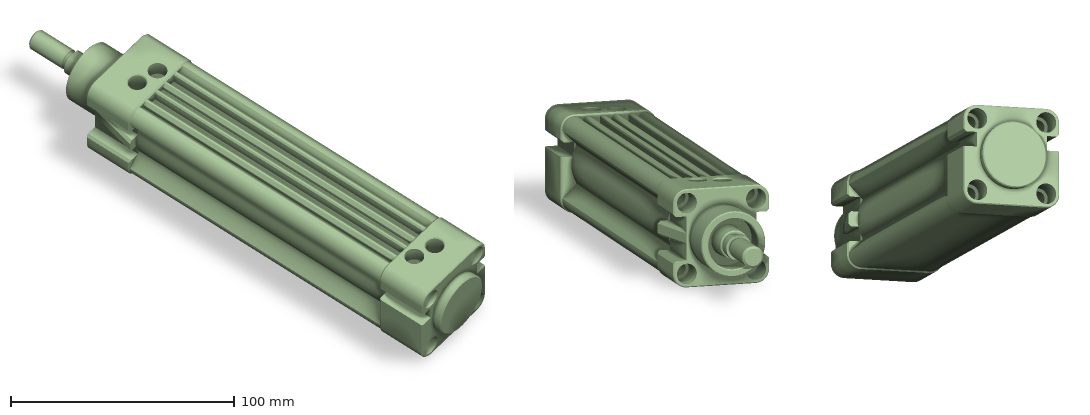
import cadquery as cq


collar_start = 29.8
front_cap_start = 48.0
front_cap_end = 72.8
rear_cap_start = 216.7
rear_cap_end = 241.5
overall_length = 246.0

cap_side = 45.0
cap_half = cap_side / 2
tie_offset = 16.2
cap_corner = cap_half - tie_offset
outer_edge_chamfer = 0.5
barrel_edge_chamfer = 0.7
collar_radius = 15.0
collar_chamfer = 0.5

tie_hole_radius = 2.7
cap_hole_radius = 3.2
tie_counterbore_radius = 4.7
tie_counterbore_depth = 5.0

recess_floor = 16.5
ear_inner = 10.0
ear_chamfer = 1.2
rib_half_height = 3.5
rib_outer = 22.1
rib_chamfer = 1.2
rear_pad_top = rib_half_height

port_mouth_radius = 4.7
port_radius = 4.2
port_setback = 9.5
port_side = 5.2
screw_hole_radius = 4.5
screw_setback = 6.6
screw_side = 5.7
screw_hole_depth = 7.5
screw_socket_radius = 1.5
screw_socket_depth = 1.2
cushion_radius = 10.0
cushion_depth = 16.0

barrel_half = 22.0
bore_radius = 16.0
tube_radius = 17.7
corner_land_end = 15.5
side_groove_depth = 6.5
rail_outer = 12.3
rail_chamfer = 1.5
valley_floor = barrel_half - (corner_land_end - rail_outer)
sensor_slot_center = 6.6
sensor_slot_half = 2.5
sensor_slot_chamfer = 0.7
sensor_slot_floor = 16.7
center_slot_half = 1.2

rod_radius = 6.0
thread_radius = 5.0
thread_end = 19.5
thread_chamfer = 1.0
undercut_radius = 4.5
undercut_end = 21.6
flats_end = 27.3
flat_half = 5.2

mouth_radius = 11.5
mouth_depth = 9.8
mouth_chamfer = 0.5
wiper_tip_radius = 6.6
wiper_base_radius = 7.5
wiper_start = 27.8
wiper_chamfer = 0.5


def cylinder_x(radius, start, end, y=0, z=0):
    """Cylinder along X between two stations."""
    return cq.Workplane("YZ", origin=(start, y, z)).circle(radius).extrude(end - start)


def cylinder_z(radius, x, y, top, bottom):
    """Vertical cylinder between two heights."""
    return cq.Workplane("XY", origin=(x, y, bottom)).circle(radius).extrude(top - bottom)


def tie_positions():
    """Y and Z of the four corner holes."""
    return [(y, z) for y in (-tie_offset, tie_offset) for z in (-tie_offset, tie_offset)]


def cap_block(start, end, outer_side, barrel_side):
    """Square cap with rounded corners and chamfered edges on its outer and barrel sides."""
    block = cq.Workplane("YZ", origin=(start, 0, 0)).rect(cap_side, cap_side).extrude(end - start)
    block = block.edges("|X").fillet(cap_corner)
    block = block.faces(barrel_side).edges().chamfer(barrel_edge_chamfer)
    return block.faces(outer_side).edges().chamfer(outer_edge_chamfer)


def cut_tie_holes(cap, start, end, outer_face, inward):
    """Cut the corner holes of a cap, with counterbores sunk from the outer face."""
    counterbore_end = outer_face + inward * tie_counterbore_depth
    for y, z in tie_positions():
        cap = cap.cut(cylinder_x(cap_hole_radius, start, end, y, z))
        cap = cap.cut(cylinder_x(tie_counterbore_radius, outer_face, counterbore_end, y, z))
    return cap


def side_recesses(start, end, low, high, chamfer_low):
    """Recess on both sides between two heights, with chamfered ears at its outer edges."""
    low_flare = ear_chamfer if chamfer_low else 0
    outline = [(recess_floor, low), (cap_half - ear_chamfer, low), (cap_half, low - low_flare)]
    outline += [(cap_half, high + ear_chamfer), (cap_half - ear_chamfer, high), (recess_floor, high)]
    recess = cq.Workplane("YZ", origin=(start, 0, 0)).polyline(outline).close().extrude(end - start)
    return recess.union(recess.mirror("XZ"))


def top_openings(barrel_face, inward):
    """Air port, cushion screw hole and cushion chamber of a cap; inward is the X sense into the cap."""
    port_x = barrel_face + inward * port_setback
    screw_x = barrel_face + inward * screw_setback
    screw_floor = cap_half - screw_hole_depth
    port_y = inward * port_side
    port = cylinder_z(port_radius, port_x, port_y, cap_half, 0)
    port_mouth_depth = port_mouth_radius - port_radius
    port_mouth = cq.Workplane("XY", origin=(port_x, port_y, cap_half)).circle(port_mouth_radius)
    port = port.union(port_mouth.workplane(offset=-port_mouth_depth).circle(port_radius).loft())
    screw_y = -inward * screw_side
    socket_floor = screw_floor - screw_socket_depth
    screw = cylinder_z(screw_hole_radius, screw_x, screw_y, cap_half, screw_floor)
    socket = cylinder_z(screw_socket_radius, screw_x, screw_y, screw_floor, socket_floor)
    chamber = cylinder_x(cushion_radius, barrel_face, barrel_face + inward * cushion_depth)
    return port.union(chamber).union(screw).union(socket)


def side_ribs():
    """Wedge ribs in the front cap recesses, rising from the front face towards the barrel."""
    outline = [(front_cap_start, recess_floor), (front_cap_end, rib_outer), (front_cap_end, 0)]
    outline += [(front_cap_start, 0)]
    rib = cq.Workplane("XY").polyline(outline).close().extrude(rib_half_height, both=True)
    rib = rib.faces(">Y").edges("not |Z").chamfer(rib_chamfer)
    return rib.union(rib.mirror("XZ"))


def make_front_cap():
    cap = cap_block(front_cap_start, front_cap_end, "<X", ">X")
    cap = cap.cut(side_recesses(front_cap_start, front_cap_end, -ear_inner, ear_inner, True))
    cap = cap.union(side_ribs())

    collar = cylinder_x(collar_radius, collar_start, front_cap_start)
    collar = collar.faces("<X").edges().chamfer(collar_chamfer)
    mouth_end = collar_start + mouth_depth
    mouth = cylinder_x(mouth_radius, collar_start, mouth_end)
    mouth_flare = cq.Workplane("YZ", origin=(collar_start, 0, 0)).circle(mouth_radius + mouth_chamfer)
    mouth_flare = mouth_flare.workplane(offset=mouth_chamfer).circle(mouth_radius).loft()
    wiper = cq.Workplane("YZ", origin=(wiper_start, 0, 0)).circle(wiper_tip_radius)
    wiper = wiper.workplane(offset=mouth_end - wiper_start).circle(wiper_base_radius).loft()
    wiper = wiper.faces("<X").edges().chamfer(wiper_chamfer)

    cap = cap.union(collar).cut(mouth).cut(mouth_flare).union(wiper)
    cap = cap.cut(top_openings(front_cap_end, -1))
    cap = cut_tie_holes(cap, front_cap_start, front_cap_end, front_cap_start, 2.5)
    return cap.cut(cylinder_x(rod_radius, wiper_start, front_cap_end))


def make_rear_cap():
    cap = cap_block(rear_cap_start, rear_cap_end, ">X", "<X")
    cap = cap.cut(side_recesses(rear_cap_start, rear_cap_end, rear_pad_top, ear_inner, False))
    collar = cylinder_x(collar_radius, rear_cap_end, overall_length)
    cap = cap.union(collar.faces(">X").edges().chamfer(collar_chamfer))
    cap = cap.cut(top_openings(rear_cap_start, 1))
    return cut_tie_holes(cap, rear_cap_start, rear_cap_end, rear_cap_end, -2.5)


def barrel_prism(outline):
    """Outline in Y and Z swept over the barrel length."""
    sketch = cq.Workplane("YZ", origin=(front_cap_end, 0, 0)).polyline(outline).close()
    return sketch.extrude(rear_cap_start - front_cap_end)


def barrel_side_groove():
    """Groove on the +Y side with 45 degree flanks; the round tube bulges into it."""
    floor = barrel_half - side_groove_depth
    floor_half = corner_land_end - side_groove_depth
    outline = [(barrel_half, -corner_land_end), (floor, -floor_half)]
    outline += [(floor, floor_half), (barrel_half, corner_land_end)]
    tube = cylinder_x(tube_radius, front_cap_end, rear_cap_end)
    return barrel_prism(outline).cut(tube)


def barrel_corner_valley():
    """Valley beside the +Y corner, with a 45 degree flank and the upright side of a rail."""
    outline = [(corner_land_end, barrel_half), (rail_outer, valley_floor)]
    outline += [(rail_outer, barrel_half - rail_chamfer), (rail_outer - rail_chamfer, barrel_half)]
    return barrel_prism(outline)


def barrel_top_slot(center, half_width, chamfer, floor):
    """Straight slot in the top with chamfered mouth edges."""
    mouth_half = half_width + chamfer
    mouth_low = barrel_half - chamfer
    right = [(half_width, floor), (half_width, mouth_low), (mouth_half, barrel_half)]
    left = [(-y, z) for y, z in reversed(right)]
    return barrel_prism([(center + y, z) for y, z in right + left])


def make_barrel():
    side = 2 * barrel_half
    length = rear_cap_start - front_cap_end
    barrel = cq.Workplane("YZ", origin=(front_cap_end, 0, 0)).rect(side, side).extrude(length)
    barrel = barrel.edges("|X").fillet(barrel_half - tie_offset)
    side_groove = barrel_side_groove()
    valley = barrel_corner_valley()
    for groove in (side_groove, valley):
        barrel = barrel.cut(groove).cut(groove.mirror("XZ"))
    barrel = barrel.cut(barrel_top_slot(0, center_slot_half, rail_chamfer, valley_floor))
    for center in (-sensor_slot_center, sensor_slot_center):
        slot = barrel_top_slot(center, sensor_slot_half, sensor_slot_chamfer, sensor_slot_floor)
        barrel = barrel.cut(slot)
    barrel = barrel.cut(cylinder_x(bore_radius, front_cap_end, rear_cap_start))
    for y, z in tie_positions():
        barrel = barrel.cut(cylinder_x(tie_hole_radius, front_cap_end, rear_cap_start, y, z))
    return barrel


def make_rod():
    """Rod with threaded end, undercut and two wrench flats facing up and down."""
    thread = cylinder_x(thread_radius, 0, thread_end).faces("<X").edges().chamfer(thread_chamfer)
    undercut = cylinder_x(undercut_radius, thread_end, undercut_end)
    shaft = cylinder_x(rod_radius, undercut_end, rear_cap_start)
    flats_length = flats_end - undercut_end
    flats_x = (undercut_end + flats_end) / 2
    for sense in (-1, 1):
        flat_z = sense * (flat_half + rod_radius / 2)
        cutter = cq.Workplane("XY").box(flats_length, 2 * rod_radius, rod_radius)
        shaft = shaft.cut(cutter.translate((flats_x, 0, flat_z)))
    return thread.union(undercut).union(shaft)


front_cap = make_front_cap()
rear_cap = make_rear_cap()
barrel = make_barrel()
rod = make_rod()

bodies = [front_cap, barrel, rear_cap, rod]
result = cq.Compound.makeCompound([body.solids().val() for body in bodies])